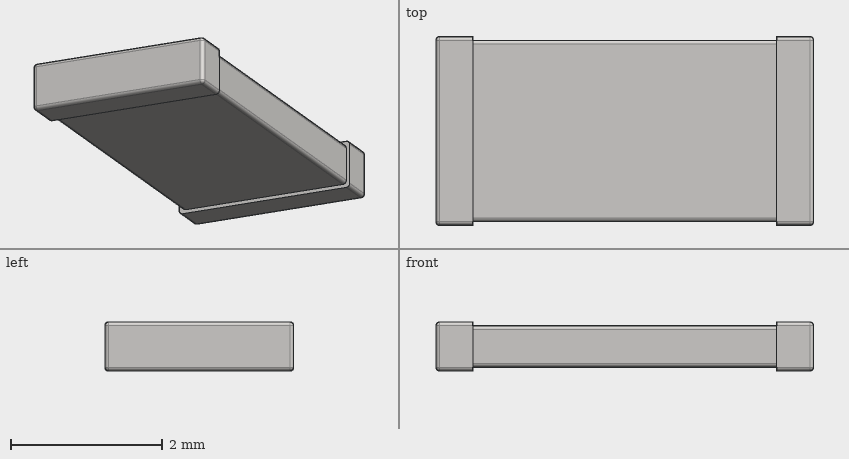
import cadquery as cq

length = 5.0
width = 2.5
height = 0.65

cap_length = 0.49
body_inset = 0.05
edge_radius = 0.05

body_length = length - 2 * cap_length
body_width = width - 2 * body_inset
body_height = height - 2 * body_inset
cap_offset = (length - cap_length) / 2


def make_body():
    """Flat bar between the caps, rounded along its four long edges."""
    bar = cq.Workplane("XY").box(body_length, body_width, body_height)
    return bar.edges("|X").fillet(edge_radius)


def make_cap(side):
    """End cap at -X (side = -1) or +X (side = 1), sharp only around its inner face."""
    inner_face = "<X" if side > 0 else ">X"
    block = cq.Workplane("XY").box(cap_length, width, height)
    rounded = block.edges(f"not({inner_face})").fillet(edge_radius)
    return rounded.translate((side * cap_offset, 0, 0))


body = make_body()
caps = [make_cap(side) for side in (-1, 1)]

result = cq.Compound.makeCompound([body.val(), *[cap.val() for cap in caps]])